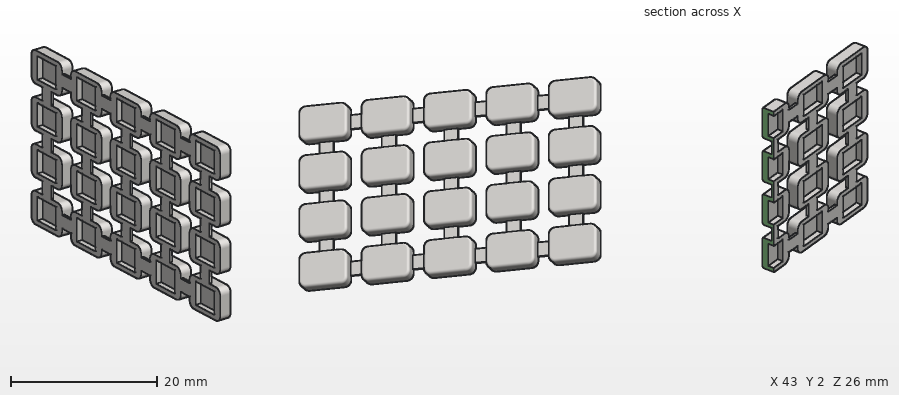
import cadquery as cq

columns = 5
rows = 4
key_width = 7.0
key_height = 5.0
key_depth = 2.0
key_gap = 2.0
corner_radius = 1.0
rim_radius = 0.4

pocket_width = 4.2
pocket_height = 3.5
pocket_depth = 0.9

web_width = 2.0
web_thickness = 0.4

column_pitch = key_width + key_gap
row_pitch = key_height + key_gap
column_centers = [(i - (columns - 1) / 2) * column_pitch for i in range(columns)]
row_centers = [(j - (rows - 1) / 2) * row_pitch for j in range(rows)]
column_span = (columns - 1) * column_pitch
row_span = (rows - 1) * row_pitch


def front_block(width, depth, height, x=0.0, z=0.0):
    """Box centred on (x, z) that runs from the front plane Y = 0 back to Y = depth."""
    return cq.Workplane("XY").box(width, depth, height).translate((x, depth / 2, z))


def make_key():
    """Rounded key with a softened back rim, without its pocket."""
    body = front_block(key_width, key_depth, key_height)
    return body.edges("|Y").fillet(corner_radius).faces(">Y").edges().fillet(rim_radius)


def make_webs():
    """A vertical web along every column and a horizontal web along the outer rows."""
    webs = [front_block(web_width, web_thickness, row_span, x=x) for x in column_centers]
    for z in (row_centers[0], row_centers[-1]):
        webs.append(front_block(column_span, web_thickness, web_width, z=z))
    return webs


key = make_key()
pocket = front_block(pocket_width, pocket_depth, pocket_height)
key_positions = [(x, 0, z) for x in column_centers for z in row_centers]
keys = [key.translate(position).val() for position in key_positions]
pockets = [pocket.translate(position).val() for position in key_positions]
webs = [web.val() for web in make_webs()]

joined = keys[0].fuse(*keys[1:], *webs).clean()
result = cq.Workplane("XY").newObject([joined.cut(*pockets)])